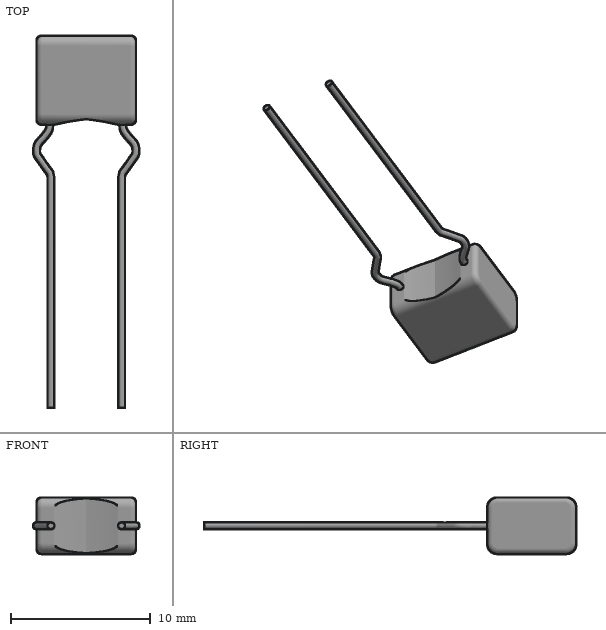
import cadquery as cq

HOUSING_WIDTH = 7.15
HOUSING_LENGTH = 6.4
HOUSING_HEIGHT = 4.08
LONG_EDGE_RADIUS = 0.75
END_EDGE_RADIUS = 0.4

RECESS_HALF_WIDTH = 2.3
RECESS_DEPTH = 0.4
RECESS_FLANK_BULGE = 0.04

TOTAL_LENGTH = 26.65
TOTAL_WIDTH = 7.62
LEAD_DIAMETER = 0.5
LEAD_EXIT_X = 2.6
LEAD_TAIL_X = 2.53
KINK_PEAK_X = (TOTAL_WIDTH - LEAD_DIAMETER) / 2
KINK_PEAK_Y = -1.92
KINK_END_Y = -3.75
STUB_LENGTH = 0.05
UPPER_SLOPE_POINTS = [(2.8, -0.59), (3.25, -1.12)]
LOWER_SLOPE_POINTS = [(3.39, -2.35), (2.72, -3.28)]
LEAD_TIP_Y = HOUSING_LENGTH - TOTAL_LENGTH


def make_recess_cutter():
    flank_middle_x = RECESS_HALF_WIDTH / 2
    flank_middle_y = RECESS_DEPTH / 2 + RECESS_FLANK_BULGE
    return (
        cq.Workplane("XY")
        .moveTo(-RECESS_HALF_WIDTH, 0)
        .threePointArc((-flank_middle_x, flank_middle_y), (0, RECESS_DEPTH))
        .threePointArc((flank_middle_x, flank_middle_y), (RECESS_HALF_WIDTH, 0))
        .close()
        .extrude(HOUSING_HEIGHT / 2, both=True)
    )


def make_housing():
    block = (
        cq.Workplane("XY")
        .box(HOUSING_WIDTH, HOUSING_LENGTH, HOUSING_HEIGHT)
        .translate((0, HOUSING_LENGTH / 2, 0))
    )
    rounded = block.edges("|X").fillet(LONG_EDGE_RADIUS)
    rounded = rounded.faces("<X or >X").edges().fillet(END_EDGE_RADIUS)
    return rounded.cut(make_recess_cutter())


def make_lead(side):
    """One wire; side is -1 for the -X lead and +1 for the +X lead."""
    along_wire = (0, -1)
    upper_slope = [(side * x, y) for x, y in UPPER_SLOPE_POINTS]
    lower_slope = [(side * x, y) for x, y in LOWER_SLOPE_POINTS]
    kink_peak = (side * KINK_PEAK_X, KINK_PEAK_Y)
    kink_end = (side * LEAD_TAIL_X, KINK_END_Y)
    path = (
        cq.Workplane("XY")
        .moveTo(side * LEAD_EXIT_X, 0)
        .lineTo(side * LEAD_EXIT_X, -STUB_LENGTH)
        .spline([*upper_slope, kink_peak], tangents=[along_wire, along_wire], includeCurrent=True)
        .spline([*lower_slope, kink_end], tangents=[along_wire, along_wire], includeCurrent=True)
        .lineTo(side * LEAD_TAIL_X, LEAD_TIP_Y)
    )
    exit_plane = cq.Plane(origin=(side * LEAD_EXIT_X, 0, 0), xDir=(side, 0, 0), normal=(0, -1, 0))
    return cq.Workplane(exit_plane).circle(LEAD_DIAMETER / 2).sweep(path)


housing = make_housing()
leads = [make_lead(side) for side in (-1, 1)]

result = cq.Compound.makeCompound([housing.val(), *[lead.val() for lead in leads]])